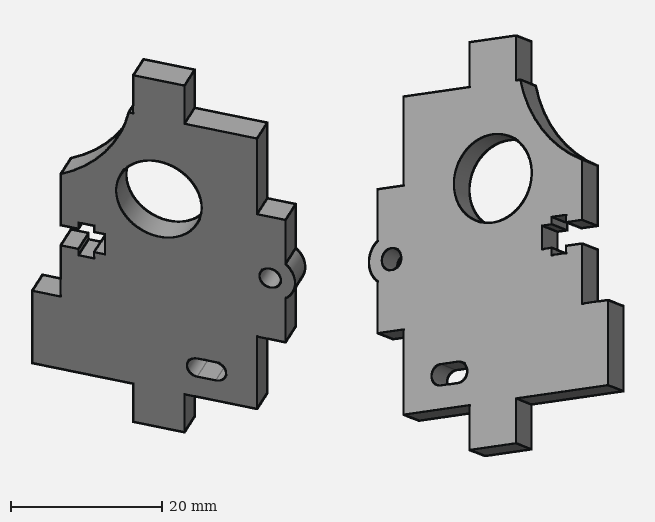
import cadquery as cq

thickness = 4.0
total_height = 55.5

body_half_width = 13.8
tab_width = 7.2
tab_height = 6.1
body_bottom = tab_height
body_top = total_height - tab_height

step_width = 4.0
step_bottom = 17.7
shoulder_top = 37.3
outer_half_width = body_half_width + step_width

scoop_radius = 17.4
scoop_top_x = -4.25

bore_diameter = 12.0
bore_z = 36.5

ear_radius = 3.5
pin_diameter = 3.0
ear_x = 15.64
ear_z = 27.5

screw_slot_width = 3.2
screw_slot_depth = 6.2
nut_slot_width = 2.2
nut_slot_height = 5.2
nut_slot_offset = 2.5

oblong_length = 5.5
oblong_width = 2.9
oblong_x = 6.7
oblong_z = 10.8


def plate():
    """Stepped outline with the concave corner, extruded about Y = 0."""
    half_tab = tab_width / 2
    outline = (
        cq.Workplane("XZ")
        .moveTo(-half_tab, 0)
        .lineTo(half_tab, 0)
        .lineTo(half_tab, body_bottom)
        .lineTo(body_half_width, body_bottom)
        .lineTo(body_half_width, step_bottom)
        .lineTo(outer_half_width, step_bottom)
        .lineTo(outer_half_width, shoulder_top)
        .lineTo(body_half_width, shoulder_top)
        .lineTo(body_half_width, body_top)
        .lineTo(half_tab, body_top)
        .lineTo(half_tab, total_height)
        .lineTo(-half_tab, total_height)
        .lineTo(-half_tab, body_top)
        .lineTo(scoop_top_x, body_top)
        .radiusArc((-body_half_width, shoulder_top), scoop_radius)
        .lineTo(-body_half_width, step_bottom)
        .lineTo(-outer_half_width, step_bottom)
        .lineTo(-outer_half_width, body_bottom)
        .lineTo(-half_tab, body_bottom)
        .close()
    )
    return outline.extrude(thickness / 2, both=True)


def cylinder(x, z, diameter):
    """Full-thickness cylinder along Y."""
    return cq.Workplane("XZ").center(x, z).circle(diameter / 2).extrude(thickness / 2, both=True)


def block(x_start, z_centre, width, height):
    """Full-thickness block starting at x_start and centred on z_centre."""
    sketch = cq.Workplane("XZ").center(x_start + width / 2, z_centre).rect(width, height)
    return sketch.extrude(thickness / 2, both=True)


def nut_trap():
    """Screw slot open to the left edge, crossed by the taller nut slot."""
    screw_slot = block(-body_half_width, ear_z, screw_slot_depth, screw_slot_width)
    nut_slot = block(-body_half_width + nut_slot_offset, ear_z, nut_slot_width, nut_slot_height)
    return screw_slot.union(nut_slot)


def oblong_slot():
    """Round-ended slot lying along X."""
    sketch = cq.Workplane("XZ").center(oblong_x, oblong_z).slot2D(oblong_length, oblong_width)
    return sketch.extrude(thickness / 2, both=True)


result = (
    plate()
    .union(cylinder(ear_x, ear_z, 2 * ear_radius))
    .cut(cylinder(ear_x, ear_z, pin_diameter))
    .cut(cylinder(0, bore_z, bore_diameter))
    .cut(nut_trap())
    .cut(oblong_slot())
)